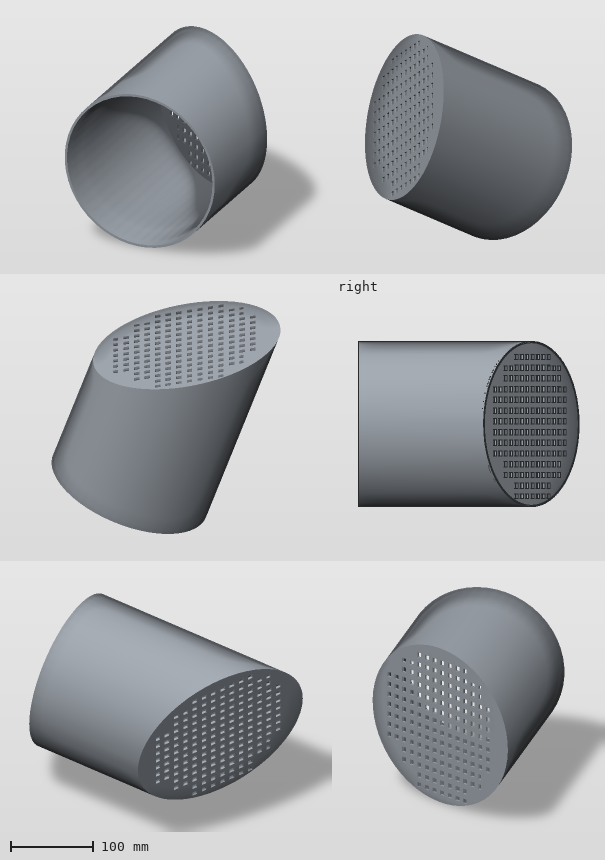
import cadquery as cq
import math

outer_diameter = 200.0
bore_diameter = 194.0
long_side = 267.0
cut_angle = 30.0

plate_diameter = 197.0
plate_thickness = 3.0

openings_per_side = 14
lattice_side = 182.0
pitch = lattice_side / openings_per_side
opening_size = pitch / 2

field_long = 180.0
field_middle = 140.0
field_short = 90.0
field_rectangles = [
    (field_short, field_long),
    (field_middle, field_middle),
    (field_long, field_short),
]

axis_length = long_side - outer_diameter / 2 * math.tan(math.radians(cut_angle))

slope_cos = math.cos(math.radians(cut_angle))
slope_sin = math.sin(math.radians(cut_angle))
end_plane = cq.Plane(
    origin=(0, axis_length, 0),
    xDir=(slope_cos, -slope_sin, 0),
    normal=(slope_sin, slope_cos, 0),
)


def cylinder(diameter):
    """Full-length cylinder along Y, starting at the mouth."""
    return cq.Workplane("XZ").circle(diameter / 2).extrude(-long_side)


def oblique_slab(near_depth, far_depth):
    """Wide slab parallel to the oblique end, between two depths measured inward from it."""
    width = 3 * long_side
    return (
        cq.Workplane(end_plane)
        .workplane(offset=-far_depth)
        .rect(width, width)
        .extrude(far_depth - near_depth)
    )


def make_plate_blank():
    """Solid oblique disc that fills the rebate of the tube."""
    return cylinder(plate_diameter).intersect(oblique_slab(0, plate_thickness))


def make_tube():
    """Tube with its oblique end and the rebate that seats the grating."""
    beyond_end = oblique_slab(-long_side, 0)
    return cylinder(outer_diameter).cut(cylinder(bore_diameter)).cut(beyond_end).cut(make_plate_blank())


def plate_prism(sketch):
    """Extrude a sketch on the oblique end inward through the plate thickness."""
    return sketch.extrude(-plate_thickness)


def make_openings():
    """Lattice openings, trimmed where they cross the stepped outline."""
    first_centre = -lattice_side / 2 + pitch - opening_size / 2
    centres = [
        (first_centre + column * pitch, first_centre + row * pitch)
        for column in range(openings_per_side)
        for row in range(openings_per_side)
    ]
    lattice = plate_prism(cq.Workplane(end_plane).pushPoints(centres).rect(opening_size, opening_size))

    field = cq.Workplane(end_plane)
    for width, height in field_rectangles:
        field = field.union(plate_prism(cq.Workplane(end_plane).rect(width, height)))
    return lattice.intersect(field)


def make_grating():
    """Plate pierced by the lattice of openings."""
    return make_plate_blank().cut(make_openings())


tube = make_tube()
grating = make_grating()

result = cq.Compound.makeCompound([tube.solids().val(), grating.solids().val()])